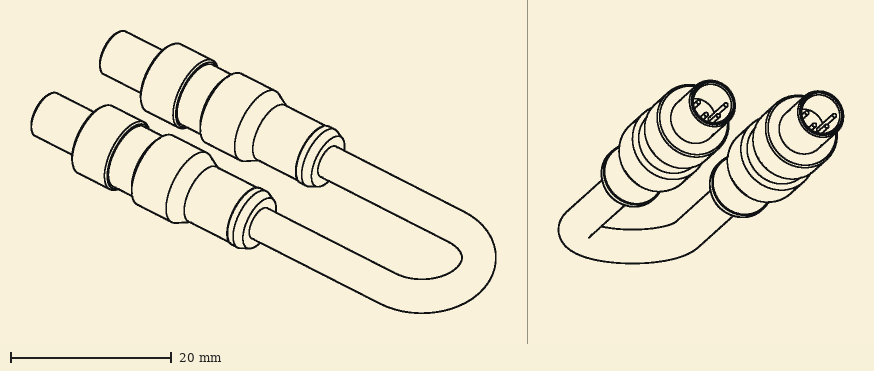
import cadquery as cq

overall_length = 62.61
plug_spacing = 14.19
cable_diameter = 4.25
bend_radius = plug_spacing / 2
bend_start = overall_length - bend_radius - cable_diameter / 2

tip_chamfer = 0.2
collar_start = 7.6
collar_end = 13.1
collar_chamfer = 0.25
grip_start = 16.7
grip_chamfer_length = 0.5
taper_start = 22.55
taper_end = 24.6
ring_start = 31.35
ring_taper_start = 32.3
body_end = 33.45

tip_radius = 6.0 / 2
collar_radius = 9.4 / 2
neck_radius = 8.4 / 2
grip_radius = 9.7 / 2
sleeve_radius = 7.65 / 2
ring_radius = 7.9 / 2
body_end_radius = 6.9 / 2

bore_radius = 5.0 / 2
bore_chamfer = 0.2
bore_depth = 6.5
pin_radius = 0.5 / 2
upper_pin_offset = 1.8
lower_pin_offset = 0.8
lower_pin_drop = 1.5
pin_start = 0.2


def make_body():
    """Turned plug body about the X axis, from the mouth to the cable exit."""
    profile = [
        (0, 0),
        (0, tip_radius - tip_chamfer),
        (tip_chamfer, tip_radius),
        (collar_start, tip_radius),
        (collar_start, collar_radius - collar_chamfer),
        (collar_start + collar_chamfer, collar_radius),
        (collar_end - collar_chamfer, collar_radius),
        (collar_end, collar_radius - collar_chamfer),
        (collar_end, neck_radius),
        (grip_start, neck_radius),
        (grip_start + grip_chamfer_length, grip_radius),
        (taper_start, grip_radius),
        (taper_end, sleeve_radius),
        (ring_start, sleeve_radius),
        (ring_start, ring_radius),
        (ring_taper_start, ring_radius),
        (body_end, body_end_radius),
        (body_end, 0),
    ]
    return cq.Workplane("XZ").polyline(profile).close().revolve(360, (0, 0, 0), (1, 0, 0))


def make_plug():
    """Plug body with its socket bored out and the contact pins standing in it."""
    bore = cq.Workplane("YZ").circle(bore_radius).extrude(bore_depth)
    plug = make_body().cut(bore)
    bore_mouth = cq.selectors.RadiusNthSelector(0)
    plug = plug.faces("<X").edges(bore_mouth).chamfer(bore_chamfer)
    pin_centers = []
    for side in (-1, 1):
        pin_centers.append((side * upper_pin_offset, 0))
        pin_centers.append((side * lower_pin_offset, -lower_pin_drop))
    pins = (
        cq.Workplane("YZ", origin=(pin_start, 0, 0))
        .pushPoints(pin_centers)
        .circle(pin_radius)
        .extrude(collar_start - pin_start)
    )
    return plug.union(pins)


def make_cable():
    """Round cable leaving one plug, turning half a circle and entering the other."""
    path = (
        cq.Workplane("XY")
        .moveTo(body_end, -bend_radius)
        .lineTo(bend_start, -bend_radius)
        .threePointArc((bend_start + bend_radius, 0), (bend_start, bend_radius))
        .lineTo(body_end, bend_radius)
    )
    section = cq.Workplane("YZ", origin=(body_end, -bend_radius, 0)).circle(cable_diameter / 2)
    return section.sweep(path)


plug = make_plug()
result = make_cable()
for side in (-1, 1):
    result = result.union(plug.translate((0, side * plug_spacing / 2, 0)))